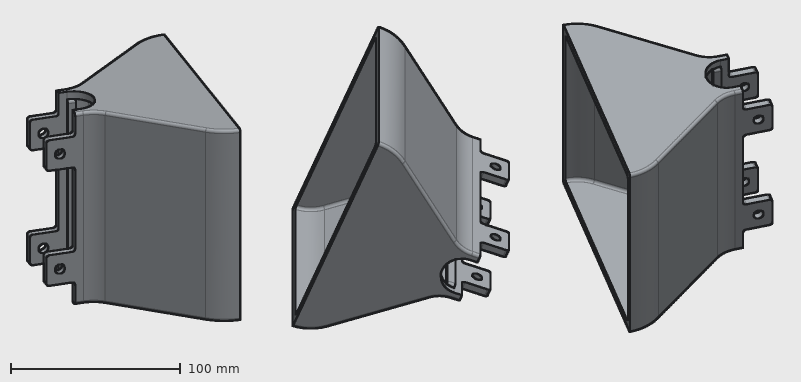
import cadquery as cq
import math

width = 140.0
height = 125.0
total_depth = 103.0

body_depth = 80.0
leg_end_depth = 85.0
wall_thickness = 5.0
shoulder_radius = 30.0
neck_radius = 18.8
edge_round = 2.0

notch_radius = 12.5
leg_outer_x = notch_radius + wall_thickness

window_half_width = notch_radius - edge_round

tab_height = 20.0
tab_inset = 15.0
tab_length = total_depth - leg_end_depth
hole_diameter = 6.0
hole_to_tip = 8.5

clearance = 0.1


def block_between(x_range, y_range, z_range):
    """Box spanning the given coordinate ranges."""
    sizes = [high - low for low, high in (x_range, y_range, z_range)]
    corner = (x_range[0], y_range[0], z_range[0])
    return cq.Workplane("XY").box(*sizes, centered=False).translate(corner)


def hood_outline(inset):
    """Symmetric plan outline of the hood, with its side walls moved inwards by inset.

    Each side is a convex shoulder arc, a straight flank tangent to both arcs,
    a concave neck arc and a straight leg.
    """
    shoulder_x = width / 2 - shoulder_radius
    neck_x = leg_outer_x + neck_radius

    center_distance = math.hypot(neck_x - shoulder_x, body_depth)
    center_tilt = math.atan2(neck_x - shoulder_x, body_depth)
    flank_angle = math.asin((shoulder_radius + neck_radius) / center_distance) - center_tilt

    def on_shoulder(angle):
        radius = shoulder_radius - inset
        return (shoulder_x + radius * math.cos(angle), -radius * math.sin(angle))

    def on_neck(angle):
        radius = neck_radius + inset
        return (neck_x - radius * math.cos(angle), radius * math.sin(angle) - body_depth)

    return (
        cq.Workplane("XY")
        .lineTo(*on_shoulder(0))
        .threePointArc(on_shoulder(flank_angle / 2), on_shoulder(flank_angle))
        .lineTo(*on_neck(flank_angle))
        .threePointArc(on_neck(flank_angle / 2), on_neck(0))
        .lineTo(leg_outer_x - inset, -leg_end_depth)
        .lineTo(0, -leg_end_depth)
        .mirrorY()
    )


def make_hood():
    """Outer body with rounded rims, hollowed from the open back to the front wall."""
    body = hood_outline(0).extrude(height)
    body = body.faces("<Z or >Z").edges("not(<Y or >Y)").fillet(edge_round)

    front_wall = block_between(
        (-width / 2, width / 2),
        (-total_depth, wall_thickness - body_depth),
        (0, height),
    )
    cavity = hood_outline(wall_thickness).extrude(height - 2 * wall_thickness).cut(front_wall)
    cavity = cavity.faces("<Z or >Z").edges("not(<Y or >Y)").fillet(edge_round)
    return body.cut(cavity.translate((0, 0, wall_thickness)))


def cut_front_opening(body):
    """Open the gap between the legs, the notch in both caps and the window behind it."""
    gap = block_between(
        (-notch_radius, notch_radius),
        (-total_depth, -body_depth),
        (0, height),
    )
    window = block_between(
        (-window_half_width, window_half_width),
        (-total_depth, notch_radius - body_depth),
        (wall_thickness, height - wall_thickness),
    )
    notch = cq.Workplane("XY").center(0, -body_depth).circle(notch_radius).extrude(wall_thickness)
    upper_notch = notch.translate((0, 0, height - wall_thickness))
    return body.cut(gap).cut(window).cut(notch).cut(upper_notch)


def round_lip_ends(body):
    """Round both ends of each lip towards the window, as far as the notch reaches."""
    flare = (
        cq.Workplane("XZ", origin=(0, -body_depth, 0))
        .moveTo(0, wall_thickness)
        .lineTo(notch_radius, wall_thickness)
        .radiusArc((window_half_width, wall_thickness + edge_round), edge_round)
        .lineTo(window_half_width, height - wall_thickness - edge_round)
        .radiusArc((notch_radius, height - wall_thickness), edge_round)
        .lineTo(0, height - wall_thickness)
        .mirrorY()
        .extrude(-notch_radius)
    )
    notch_column = cq.Workplane("XY").center(0, -body_depth).circle(notch_radius).extrude(height)
    return body.cut(flare.intersect(notch_column))


def make_tab(leg_x, middle_z):
    """Tab in front of a leg, with a rounded tip and a cross hole."""
    hole_offset = hole_to_tip - tab_length / 2
    return (
        cq.Workplane("XY")
        .box(wall_thickness, tab_length, tab_height)
        .edges("|X and <Y")
        .fillet(edge_round)
        .faces(">X")
        .workplane(centerOption="CenterOfBoundBox")
        .center(hole_offset, 0)
        .hole(hole_diameter)
        .translate((leg_x, -leg_end_depth - tab_length / 2, middle_z))
    )


def add_tabs(body):
    """Join two tabs to each leg and fillet the corners at their roots."""
    leg_x = notch_radius + wall_thickness / 2
    low_z = tab_inset + tab_height / 2
    for side in (-1, 1):
        for middle_z in (low_z, height - low_z):
            body = body.union(make_tab(side * leg_x, middle_z))

    root_corners = cq.selectors.BoxSelector(
        (-width / 2, -leg_end_depth - clearance, tab_inset - clearance),
        (width / 2, -leg_end_depth + clearance, height - tab_inset + clearance),
    )
    return body.edges("|X").edges(root_corners).fillet(edge_round)


result = add_tabs(round_lip_ends(cut_front_opening(make_hood())))